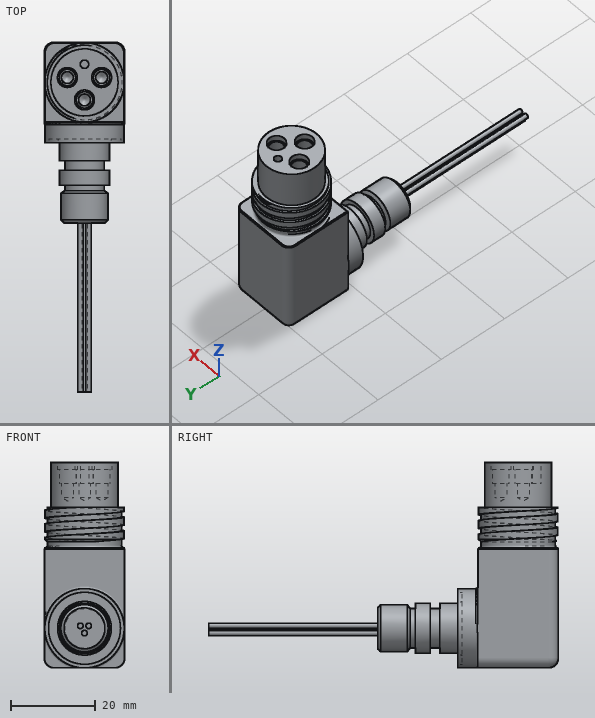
import cadquery as cq
import math

total_height = 48.7
total_length = 82.85

block_side = 19.05
block_half = block_side / 2
block_height = 28.4
block_corner_radius = 2.3
edge_break = 0.25

nose_diameter = 15.9
collar_top = 38.0
thread_diameter = 18.8
thread_core_diameter = 17.65
thread_bottom = 30.5
thread_pitch = 3.2
thread_lead = 1.1
thread_turns = 5
crest_width = 1.8
flank_run = 0.1
thread_embed = 0.4
base_flare = 0.6

socket_places = [(-4.1, 1.2), (0, -4.15), (4.1, 1.2)]
socket_rim_diameter = 4.7
socket_rim_depth = 1.65
socket_bore_diameter = 3.9
socket_bore_depth = 5.0
contact_diameter = 2.8
contact_depth = 8.3
drill_tip_ratio = 0.6
key_hole_y = 4.3
key_hole_diameter = 2.0
key_hole_depth = 5.0

flange_diameter = 18.8
outlet_height = flange_diameter / 2
flange_end = 14.3
flange_recess_diameter = 17.1
flange_recess_depth = 1.0
flange_flare = 0.5
sleeve_diameter = 11.9
sleeve_groove_diameter = 9.4
sleeve_root_diameter = 12.8
sleeve_end = 18.55
band_start = 20.8
band_end = 24.35
tip_diameter = 11.2
tip_cone_start = 25.6
tip_cone_length = 0.7
tip_end = 33.3
tip_chamfer = 0.75

wire_end = total_length - block_half
wire_diameter = 1.3
wire_pitch = 2.0
wire_embed = 0.8
wire_circle_radius = wire_pitch / math.sqrt(3)
wire_angles = [30, 150, 270]


def revolve_profile(points):
    """Solid of revolution about Z from (radius, height) points."""
    return cq.Workplane("XZ").polyline(points).close().revolve(360, (0, 0), (0, 1))


def flare_disc(radius, size, base):
    """Disc with a concave rim that blends a cylinder of the given radius into the face below it."""
    arc_offset = size * (1 - math.sqrt(0.5))
    return (
        cq.Workplane("XZ")
        .moveTo(0, base)
        .lineTo(radius + size, base)
        .threePointArc((radius + arc_offset, base + arc_offset), (radius, base + size))
        .lineTo(0, base + size)
        .close()
        .revolve(360, (0, 0), (0, 1))
    )


def make_block():
    block = cq.Workplane("XY").box(block_side, block_side, block_height, centered=(True, True, False))
    block = block.edges("(|Z and >Y) or (<Z and (not <Y))").fillet(block_corner_radius)
    return block.faces(">Z").edges().chamfer(edge_break)


def make_thread():
    core_radius = thread_core_diameter / 2
    crest_radius = thread_diameter / 2
    root_radius = core_radius - thread_embed
    start = thread_bottom + thread_lead - 2 * thread_pitch
    path = cq.Workplane("XY").add(
        cq.Wire.makeHelix(thread_pitch, thread_turns * thread_pitch, root_radius)
    )
    ridge = (
        cq.Workplane("XZ")
        .polyline(
            [
                (root_radius, -crest_width / 2 - flank_run),
                (crest_radius, -crest_width / 2),
                (crest_radius, crest_width / 2),
                (root_radius, crest_width / 2 + flank_run),
            ]
        )
        .close()
        .sweep(path, isFrenet=True)
        .translate((0, 0, start))
    )
    depth = crest_radius - core_radius
    envelope = revolve_profile(
        [
            (0, thread_bottom - depth),
            (core_radius, thread_bottom - depth),
            (core_radius + 2 * depth, thread_bottom + depth),
            (core_radius + 2 * depth, collar_top),
            (0, collar_top),
        ]
    )
    return ridge.intersect(envelope)


def make_nose():
    core_radius = thread_core_diameter / 2
    core = cq.Workplane("XY").workplane(offset=block_half).circle(core_radius)
    core = core.extrude(collar_top - block_half)
    core = core.union(flare_disc(core_radius, base_flare, block_height))
    nose = cq.Workplane("XY").workplane(offset=block_half).circle(nose_diameter / 2)
    nose = nose.extrude(total_height - block_half)
    return core.union(make_thread()).union(nose)


def make_socket(place):
    rim = socket_rim_diameter / 2
    bore = socket_bore_diameter / 2
    contact = contact_diameter / 2
    socket = revolve_profile(
        [
            (0, 0),
            (rim, 0),
            (rim, -socket_rim_depth),
            (bore, -socket_rim_depth),
            (bore, -socket_bore_depth),
            (contact, -socket_bore_depth),
            (contact, -contact_depth),
            (0, -contact_depth - drill_tip_ratio * contact),
        ]
    )
    return socket.translate((place[0], place[1], total_height))


def make_key_hole():
    mouth = cq.Workplane("XY").workplane(offset=total_height).center(0, key_hole_y)
    return mouth.circle(key_hole_diameter / 2).extrude(-key_hole_depth)


def along_outlet(solid):
    """Turn a solid built along +Z so that it runs along the outlet axis toward -Y."""
    return solid.rotate((0, 0, 0), (1, 0, 0), 90).translate((0, 0, outlet_height))


def make_outlet():
    flange = flange_diameter / 2
    recess = flange_recess_diameter / 2
    recess_floor = flange_end - flange_recess_depth
    sleeve = sleeve_diameter / 2
    sleeve_root = sleeve_root_diameter / 2
    groove = sleeve_groove_diameter / 2
    tip = tip_diameter / 2
    profile = revolve_profile(
        [
            (0, 0),
            (sleeve, 0),
            (sleeve, block_half),
            (flange, block_half),
            (flange, flange_end),
            (recess, flange_end),
            (recess, recess_floor),
            (sleeve_root, recess_floor),
            (sleeve, flange_end),
            (sleeve, sleeve_end),
            (groove, sleeve_end),
            (groove, band_start),
            (sleeve, band_start),
            (sleeve, band_end),
            (groove, band_end),
            (groove, tip_cone_start),
            (tip, tip_cone_start + tip_cone_length),
            (tip, tip_end - tip_chamfer),
            (tip - tip_chamfer, tip_end),
            (0, tip_end),
        ]
    )
    flare = flare_disc(flange, flange_flare, block_half)
    outlet = along_outlet(profile.union(flare))
    block_outline = cq.Workplane("XZ").rect(block_side, block_height).extrude(tip_end)
    return outlet.intersect(block_outline.translate((0, 0, block_height / 2)))


def make_wires():
    wires = cq.Workplane("XY").workplane(offset=tip_end - wire_embed)
    for angle in wire_angles:
        a = math.radians(angle)
        wires = wires.moveTo(wire_circle_radius * math.cos(a), wire_circle_radius * math.sin(a))
        wires = wires.circle(wire_diameter / 2)
    return along_outlet(wires.extrude(wire_end - tip_end + wire_embed))


result = make_block().union(make_nose())
result = result.union(make_outlet()).union(make_wires())
for place in socket_places:
    result = result.cut(make_socket(place))
result = result.cut(make_key_hole())